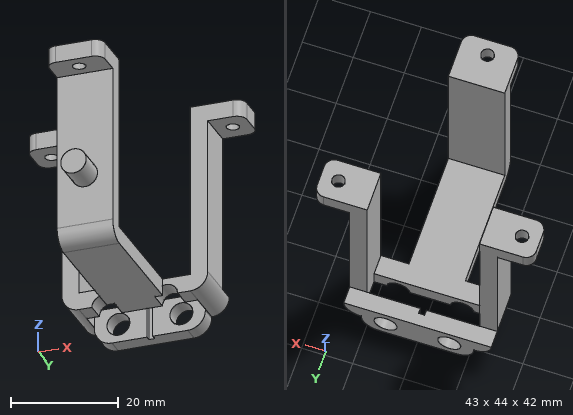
import cadquery as cq

thickness = 3.48
top_height = 38.25
overall_width = 43.0
overall_depth = 44.0
bend_radius = 3.45

inner_width = 22.0
outer_width = inner_width + 2 * thickness
arm_depth = 8.05
crossbar_depth = arm_depth / 2

tongue_drop = 3.8
tongue_radius = 3.48
bar_hole_diameter = 4.5
bar_hole_offset = 6.25
bar_hole_z = -0.1
groove_width = 1.15
groove_depth = 1.05

front_arm_width = 11.1
front_y = thickness - overall_depth
front_reach = 6.05
front_leg_y = front_y + front_reach
ear_radius = 2.0
ear_hole_diameter = 2.5
side_hole_inset = 3.5
front_hole_inset = 3.05
pin_diameter = 5.0
pin_z = 13.65


def box(x_min, x_max, y_min, y_max, z_min, z_max):
    size = (x_max - x_min, y_max - y_min, z_max - z_min)
    return cq.Workplane("XY").box(*size, centered=False).translate((x_min, y_min, z_min))


def centered_box(width, y_min, y_max, z_min, z_max):
    return box(-width / 2, width / 2, y_min, y_max, z_min, z_max)


def make_side_frame():
    """Two side arms, joined by the front half of the floor, with outward ears."""
    frame = centered_box(outer_width, -arm_depth, 0, 0, top_height)
    frame = frame.edges("|Y and <Z").fillet(bend_radius)
    frame = frame.cut(centered_box(inner_width, -arm_depth, 0, thickness, top_height))
    frame = frame.cut(centered_box(inner_width, crossbar_depth - arm_depth, 0, 0, thickness))
    ears = centered_box(overall_width, -arm_depth, 0, top_height - thickness, top_height)
    ears = ears.edges("|Z").fillet(ear_radius)
    ears = ears.cut(centered_box(inner_width, -arm_depth, 0, 0, top_height))
    return frame.union(ears)


def make_back_bar():
    """Bar behind the side arms, with a rounded tongue and an upright groove."""
    bar = centered_box(outer_width, 0, thickness, 0, thickness)
    bar = bar.edges("|Y and <Z").fillet(bend_radius)
    tongue = centered_box(inner_width, 0, thickness, -tongue_drop, thickness)
    tongue = tongue.edges("|Y and <Z").fillet(tongue_radius)
    groove = centered_box(groove_width, 0, groove_depth, -tongue_drop, thickness)
    return bar.union(tongue).cut(groove)


def make_front_arm():
    """Floor strip running forward, upright leg, forward ear and pin."""
    leg_back_y = front_leg_y + thickness
    arm = centered_box(front_arm_width, front_leg_y, -arm_depth, 0, top_height)
    arm = arm.edges("|X and <Y and <Z").fillet(bend_radius)
    arm = arm.cut(centered_box(front_arm_width, leg_back_y, -arm_depth, thickness, top_height))
    ear = centered_box(front_arm_width, front_y, leg_back_y, top_height - thickness, top_height)
    ear = ear.edges("|Z and <Y").fillet(ear_radius)
    pin = (
        cq.Workplane("XZ", origin=(0, front_leg_y, pin_z))
        .circle(pin_diameter / 2)
        .extrude(front_reach)
    )
    return arm.union(ear).union(pin)


def make_bar_holes():
    """Holes through the bar that also notch the crossbar from below."""
    return (
        cq.Workplane("XZ", origin=(0, thickness, bar_hole_z))
        .pushPoints([(-bar_hole_offset, 0), (bar_hole_offset, 0)])
        .circle(bar_hole_diameter / 2)
        .extrude(thickness + arm_depth)
    )


def make_ear_holes():
    side_x = overall_width / 2 - side_hole_inset
    centers = [(side * side_x, -arm_depth / 2) for side in (-1, 1)]
    centers.append((0, front_y + front_hole_inset))
    return (
        cq.Workplane("XY", origin=(0, 0, top_height - thickness))
        .pushPoints(centers)
        .circle(ear_hole_diameter / 2)
        .extrude(thickness)
    )


result = make_side_frame().union(make_back_bar()).cut(make_bar_holes())
result = result.union(make_front_arm()).cut(make_ear_holes())